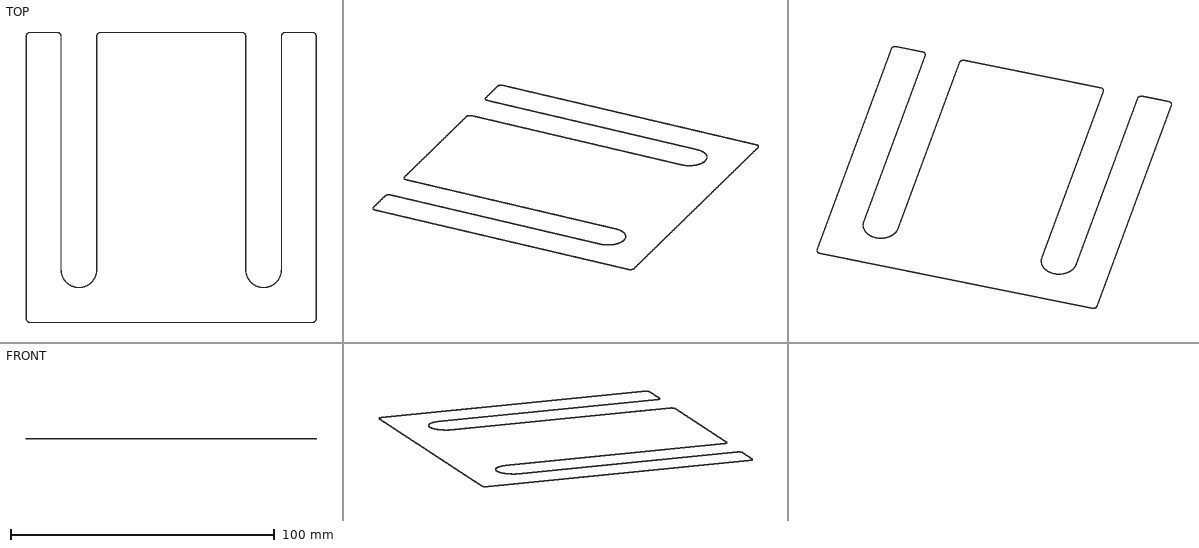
import cadquery as cq

side = 110.0
thickness = 0.2
corner_radius = 1.5

slot_width = 13.4
slot_offset = 35.0
slot_end_margin = 13.3
slot_radius = slot_width / 2
slot_arc_y = -side / 2 + slot_end_margin + slot_radius


def open_slot(center_x):
    """Cutter for one slot: a round closed end and a straight run out of the +Y edge."""
    return (
        cq.Workplane("XY")
        .moveTo(center_x - slot_radius, side / 2)
        .lineTo(center_x - slot_radius, slot_arc_y)
        .threePointArc((center_x, slot_arc_y - slot_radius), (center_x + slot_radius, slot_arc_y))
        .lineTo(center_x + slot_radius, side / 2)
        .close()
        .extrude(thickness, both=True)
    )


plate = cq.Workplane("XY").box(side, side, thickness)
for center_x in (-slot_offset, slot_offset):
    plate = plate.cut(open_slot(center_x))

edge_corners = plate.faces(">Y or <Y").edges("|Z")
result = edge_corners.fillet(corner_radius)